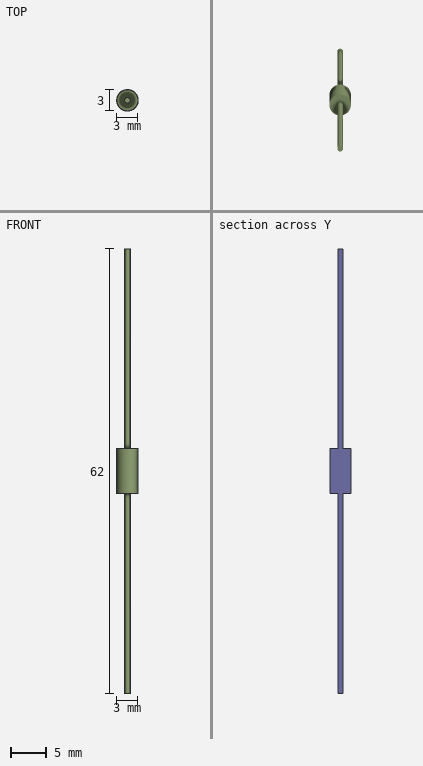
import cadquery as cq


overall_length = 61.99
lead_diameter = 0.8

body_diameter = 3.0
body_length = 6.3
body_centre_height = 0.05

band_width = 1.1
band_end_margin = 0.4

lead_bottom = -overall_length / 2
lead_top = overall_length / 2
body_bottom = body_centre_height - body_length / 2
body_top = body_bottom + body_length
band_bottom = body_bottom + band_end_margin
band_top = band_bottom + band_width


def cylinder(diameter, bottom, top):
    """Round bar on the Z axis between two heights."""
    return cq.Workplane("XY").workplane(offset=bottom).circle(diameter / 2).extrude(top - bottom)


def banded_body():
    """Body stacked from three equal-diameter lengths, so the band keeps its own face."""
    lower_end = cylinder(body_diameter, body_bottom, band_bottom)
    cathode_band = cylinder(body_diameter, band_bottom, band_top)
    upper_body = cylinder(body_diameter, band_top, body_top)
    return lower_end.union(cathode_band, clean=False).union(upper_body, clean=False)


leads = cylinder(lead_diameter, lead_bottom, lead_top)

result = banded_body().union(leads, clean=False)